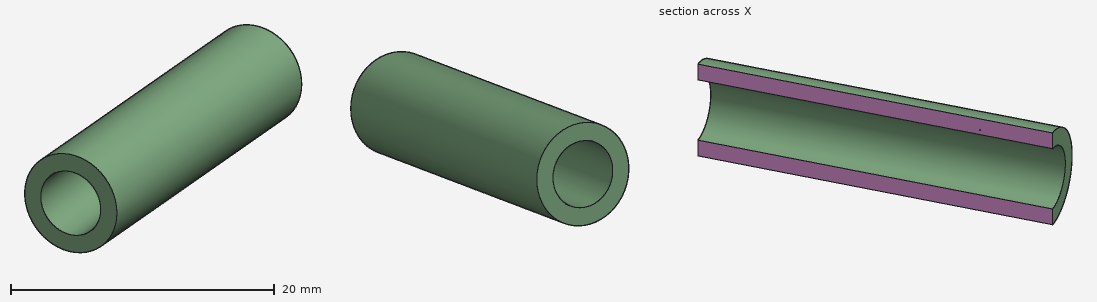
import cadquery as cq

length = 29.0
outer_diameter = 8.0
bore_diameter = 5.2

result = (
    cq.Workplane("XZ", origin=(0, length / 2, 0))
    .circle(outer_diameter / 2)
    .circle(bore_diameter / 2)
    .extrude(length)
)